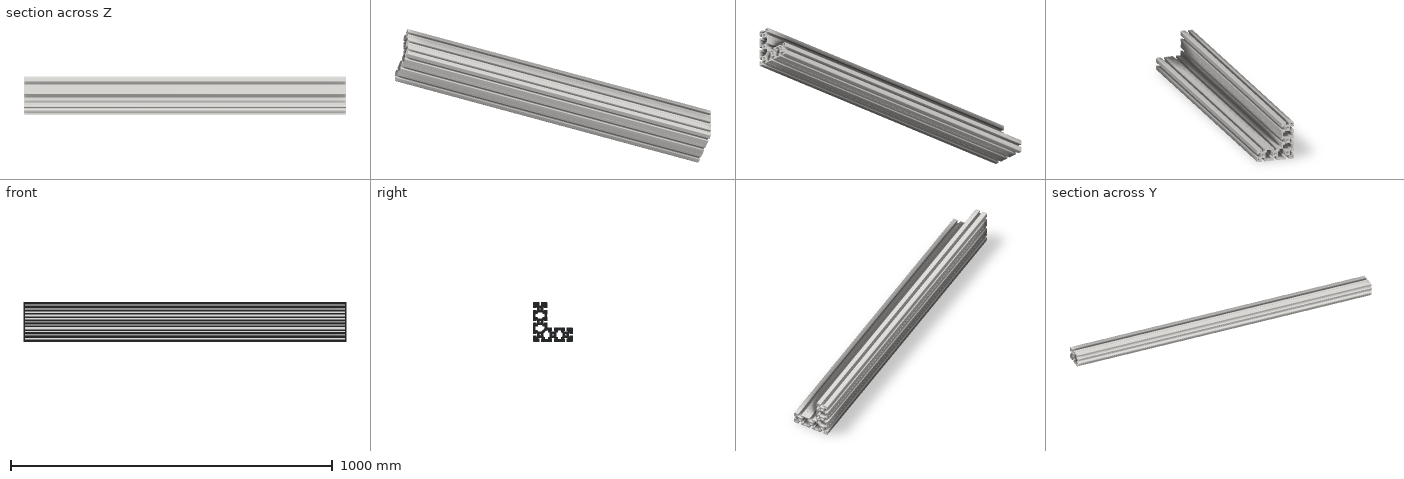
import cadquery as cq
import math

length = 1000.0
cell = 40.0
cells_per_leg = 3
leg = cell * cells_per_leg
half_cell = cell / 2
corner_radius = 3.0

mouth_width = 10.0
mouth_radius = 0.2
lip = 6.0
chamber_width = 20.0
chamber_side_depth = 8.0
floor_width = 13.0
slot_depth = 12.0

bore = 10.0

skin = 4.0
hollow_length = 24.0
hollow_end_width = 16.0
shoulder_length = 15.0
shoulder_width = 20.0

corner_web = 3.0

corner_hollow_leg = 9.0
corner_hollow_inset = 3.0

groove_width = 12.0
groove_depth = 0.5

TOP, FRONT, BOTTOM, BACK = range(4)


def prism(points):
    """Extrude a closed (Y, Z) outline along the whole part."""
    return cq.Workplane("YZ").polyline(points).close().extrude(length)


def place(shape, y, z, side=TOP):
    """Turn a shape made for the top side to another side, then move its origin to (y, z)."""
    return shape.rotate((0, 0, 0), (1, 0, 0), 90 * side).translate((0, y, z))


def onto_flat_leg(shape):
    """Swap Y and Z, which carries the upright leg onto the flat leg."""
    return shape.rotate((0, 0, 0), (0, 1, 1), 180).translate((length, 0, 0))


def cell_centre(index):
    return half_cell + index * cell


def make_body():
    """L-shaped bar with its outer corners rounded and its inner corner sharp."""
    body = prism([(0, 0), (leg, 0), (leg, cell), (cell, cell), (cell, leg), (0, leg)])
    inner_edge = cq.selectors.NearestToPointSelector((length / 2, cell, cell))
    return body.edges("|X").edges(cq.selectors.InverseSelector(inner_edge)).fillet(corner_radius)


def make_slot():
    """T-slot with a rounded mouth, open to the top of a cell centred on the origin."""
    mouth_y = mouth_width / 2
    rim_y = mouth_y + mouth_radius
    chamber_y = chamber_width / 2
    floor_y = floor_width / 2
    rim_z = half_cell - mouth_radius
    lip_z = half_cell - lip
    side_z = half_cell - chamber_side_depth
    floor_z = half_cell - slot_depth
    rounding = mouth_radius * (1 - math.sqrt(0.5))
    middle_y = mouth_y + rounding
    middle_z = half_cell - rounding
    return (
        cq.Workplane("YZ")
        .moveTo(-rim_y, half_cell)
        .threePointArc((-middle_y, middle_z), (-mouth_y, rim_z))
        .lineTo(-mouth_y, lip_z)
        .lineTo(-chamber_y, lip_z)
        .lineTo(-chamber_y, side_z)
        .lineTo(-floor_y, floor_z)
        .lineTo(floor_y, floor_z)
        .lineTo(chamber_y, side_z)
        .lineTo(chamber_y, lip_z)
        .lineTo(mouth_y, lip_z)
        .lineTo(mouth_y, rim_z)
        .threePointArc((middle_y, middle_z), (rim_y, half_cell))
        .close()
        .extrude(length)
    )


def make_hollow(beside_corner_cell):
    """Hollow centred on the boundary of two stacked cells.

    Beside the corner cell, its lower +Y side follows the diagonal web instead.
    """
    wall_y = half_cell - skin
    end_y = hollow_end_width / 2
    end_z = hollow_length / 2
    shoulder_y = shoulder_width / 2
    shoulder_z = shoulder_length / 2
    points = [
        (wall_y, shoulder_z),
        (shoulder_y, shoulder_z),
        (end_y, end_z),
        (-end_y, end_z),
        (-shoulder_y, shoulder_z),
        (-wall_y, shoulder_z),
        (-wall_y, -shoulder_z),
        (-shoulder_y, -shoulder_z),
        (-end_y, -end_z),
    ]
    if beside_corner_cell:
        web_y = half_cell - corner_web * math.sqrt(0.5)
        points += [(web_y - end_z, -end_z), (wall_y, wall_y - web_y)]
    else:
        points += [(end_y, -end_z), (shoulder_y, -shoulder_z), (wall_y, -shoulder_z)]
    return prism(points)


def make_corner_hollow():
    """Triangular hollow behind a corner at the origin, between the +Y and +Z directions."""
    near = corner_hollow_inset
    far = corner_hollow_inset + corner_hollow_leg
    return prism([(near, near), (far, near), (near, far)])


def make_leg_cuts():
    """Every cut of the upright leg, the corner cell included."""
    slot = make_slot()
    bore_cut = cq.Workplane("YZ").circle(bore / 2).extrude(length)
    cuts = [place(slot, half_cell, cell_centre(cells_per_leg - 1), TOP)]
    for index in range(cells_per_leg):
        z = cell_centre(index)
        cuts.append(place(bore_cut, half_cell, z))
        cuts.append(place(slot, half_cell, z, FRONT))
        if index > 0:
            cuts.append(place(slot, half_cell, z, BACK))

    groove = cq.Workplane("YZ").rect(2 * groove_depth, groove_width).extrude(length)
    for index in range(1, cells_per_leg):
        z = index * cell
        beside_corner_cell = index == 1
        cuts.append(place(make_hollow(beside_corner_cell), half_cell, z))
        cuts.append(place(groove, 0, z))
        if not beside_corner_cell:
            cuts.append(place(groove, cell, z))

    corner_hollow = make_corner_hollow()
    cuts.append(place(corner_hollow, 0, 0))
    cuts.append(place(corner_hollow, cell, leg, BOTTOM))
    cuts.append(place(corner_hollow, 0, leg, BACK))
    return cuts


result = make_body()
for cut in make_leg_cuts():
    result = result.cut(cut).cut(onto_flat_leg(cut))
result = result.solids()